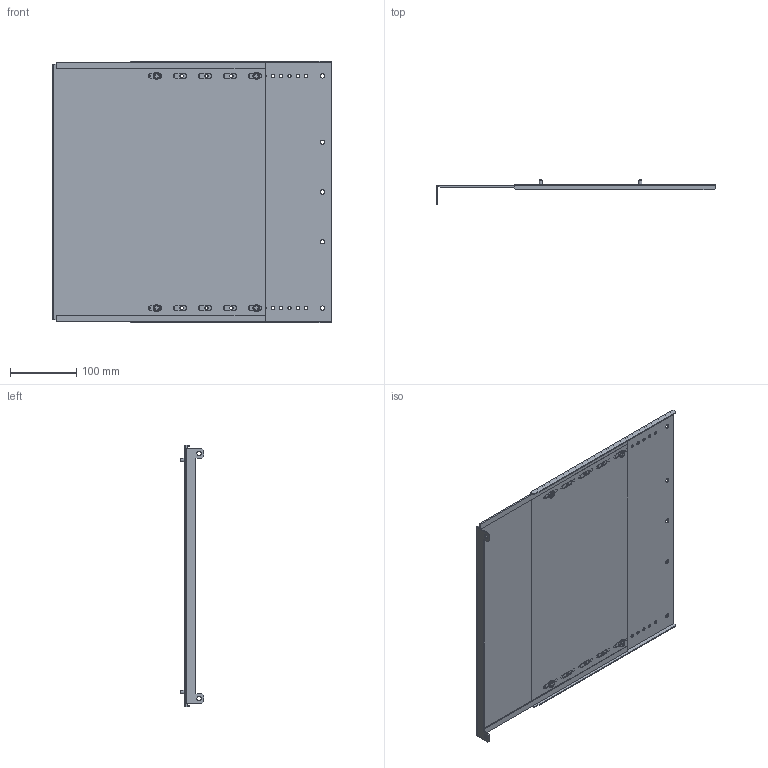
import cadquery as cq

total_length = 419.75
total_depth = 35.7
bolt_protrusion = 6.7
outer_height = 394.5

outer_thickness = 1.5
outer_length = 303.0
outer_flange_depth = 7.5
outer_corner_chamfer = 2.0
outer_left = total_length - outer_length

inner_thickness = 1.25
inner_right = 320.0
side_clearance = 0.25
inner_height = outer_height - 2 * outer_thickness - 2 * side_clearance
inner_bend_radius = 0.75
hem_width = 9.25
hem_start = 5.5
hem_thickness = inner_thickness
inner_rear = -outer_thickness
inner_front = inner_rear - inner_thickness

end_flange_height = 384.5
end_flange_front = -17.0
tab_front = bolt_protrusion - total_depth
tab_height = 15.0
tab_corner_chamfer = 3.0
tab_hole_diameter = 6.5
tab_hole_from_front = 7.2
tab_hole_from_end = tab_height / 2

row_z = 174.75
hole_pitch = 12.5
hole_count = 20
first_hole_x = 144.25
adjust_hole_diameter = 5.0
slot_pitch = 3 * hole_pitch
slot_count = 5
slot_length = 20.0
slot_width = 7.0
first_slot_x = 154.5

mount_hole_diameter = 6.5
mount_hole_spacing = 75.0
mount_hole_x = total_length - 13.25
mount_hole_heights = [-row_z, -mount_hole_spacing, 0.0, mount_hole_spacing, row_z]

bolt_diameter = adjust_hole_diameter
bolt_tip_chamfer = 0.6
bolt_head_diameter = 10.5
bolt_head_height = 3.5
bolt_head_fillet = 1.0
socket_across_corners = 4.6
socket_depth = 1.5
socket_sides = 6
first_bolt_x = first_hole_x + hole_pitch
bolt_positions = [first_bolt_x, first_bolt_x + (slot_count - 1) * slot_pitch]


def block(x_left, x_right, y_front, y_rear, z_bottom, z_top):
    """Box given by its limits along the three axes."""
    size = (x_right - x_left, y_rear - y_front, z_top - z_bottom)
    return cq.Workplane("XY").box(*size, centered=False).translate((x_left, y_front, z_bottom))


def front_plane(y):
    """Workplane facing -Y at the given Y, with local axes X and Z."""
    return cq.Workplane("XZ", origin=(0, y, 0))


def make_outer_tray():
    half = outer_height / 2
    tray = block(outer_left, total_length, -outer_thickness, 0, -half, half)
    flange_outline = (
        block(outer_left, total_length, -outer_flange_depth, 0, 0, outer_thickness)
        .edges("|Z and <Y")
        .chamfer(outer_corner_chamfer)
    )
    for z_bottom in (-half, half - outer_thickness):
        tray = tray.union(flange_outline.translate((0, 0, z_bottom)))

    adjust_points = [
        (first_hole_x + i * hole_pitch, z) for i in range(hole_count) for z in (-row_z, row_z)
    ]
    mount_points = [(mount_hole_x, z) for z in mount_hole_heights]
    hole_groups = ((adjust_points, adjust_hole_diameter), (mount_points, mount_hole_diameter))
    for points, diameter in hole_groups:
        holes = front_plane(0).pushPoints(points).circle(diameter / 2).extrude(outer_thickness)
        tray = tray.cut(holes)
    return tray


def make_end_flange():
    half = end_flange_height / 2
    flange = block(0, inner_thickness, end_flange_front, inner_rear, -half, half)
    for side in (-1, 1):
        z_limits = sorted((side * half, side * (half - tab_height)))
        tab = block(0, inner_thickness, tab_front, inner_rear, *z_limits)
        tab = tab.edges("|X and <Y").chamfer(tab_corner_chamfer)
        hole = (
            cq.Workplane("YZ")
            .center(tab_front + tab_hole_from_front, side * (half - tab_hole_from_end))
            .circle(tab_hole_diameter / 2)
            .extrude(inner_thickness)
        )
        flange = flange.union(tab).cut(hole)
    return flange


def make_inner_tray():
    half = inner_height / 2
    flange_half = end_flange_height / 2
    tray = block(hem_start, inner_right, inner_front, inner_rear, -half, half)
    tray = tray.union(block(0, hem_start, inner_front, inner_rear, -flange_half, flange_half))
    tray = tray.union(make_end_flange())
    bend_corner = cq.selectors.NearestToPointSelector((0, inner_rear, 0))
    tray = tray.edges(bend_corner).fillet(inner_bend_radius)
    for side in (-1, 1):
        z_limits = sorted((side * half, side * (half - hem_width)))
        hem = block(hem_start, inner_right, inner_front - hem_thickness, inner_front, *z_limits)
        tray = tray.union(hem)

    slot_points = [
        (first_slot_x + i * slot_pitch, z) for i in range(slot_count) for z in (-row_z, row_z)
    ]
    slots = (
        front_plane(inner_rear)
        .pushPoints(slot_points)
        .slot2D(slot_length, slot_width)
        .extrude(inner_thickness)
    )
    return tray.cut(slots)


def make_bolt(x, z):
    """Bolt whose head clamps the slotted inner tray and whose shank fills a hole of the outer tray."""
    shank = (
        front_plane(bolt_protrusion)
        .center(x, z)
        .circle(bolt_diameter / 2)
        .extrude(bolt_protrusion - inner_front)
        .faces(">Y")
        .chamfer(bolt_tip_chamfer)
    )
    head = (
        front_plane(inner_front)
        .center(x, z)
        .circle(bolt_head_diameter / 2)
        .extrude(bolt_head_height)
        .faces("<Y")
        .edges()
        .fillet(bolt_head_fillet)
    )
    socket = (
        front_plane(inner_front - bolt_head_height)
        .center(x, z)
        .polygon(socket_sides, socket_across_corners)
        .extrude(-socket_depth)
    )
    return shank.union(head).cut(socket)


outer_tray = make_outer_tray()
inner_tray = make_inner_tray()
bolts = [make_bolt(x, z) for x in bolt_positions for z in (-row_z, row_z)]

result = cq.Compound.makeCompound(
    [outer_tray.val(), inner_tray.val(), *[bolt.val() for bolt in bolts]]
)